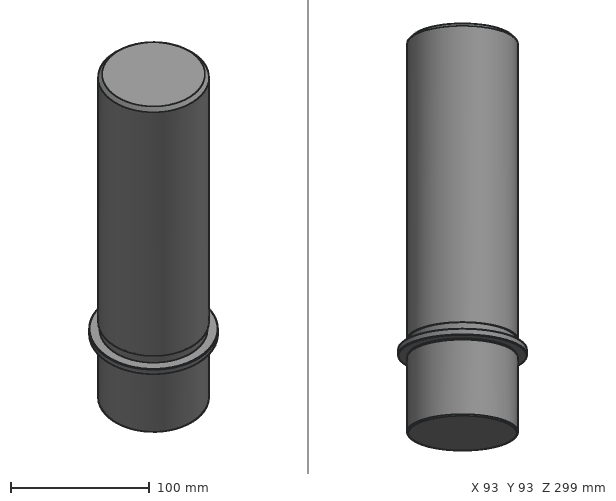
import cadquery as cq

total_height = 299.0
body_diameter = 80.0
top_chamfer = 3.0

base_height = 58.5
base_chamfer = 1.0
shoulder_chamfer = 1.0

neck_diameter = 78.0
neck_top = 71.0

collar_diameter = 93.0
collar_bottom = 59.0
collar_thickness = 5.0
collar_chamfer = 0.5


def cylinder(diameter, bottom, top):
    """Solid cylinder on the Z axis between two heights."""
    return cq.Workplane("XY").workplane(offset=bottom).circle(diameter / 2).extrude(top - bottom)


def make_base():
    base = cylinder(body_diameter, 0, base_height)
    base = base.faces("<Z").edges().chamfer(base_chamfer)
    return base.faces(">Z").edges().chamfer(shoulder_chamfer)


def make_collar():
    collar = cylinder(collar_diameter, collar_bottom, collar_bottom + collar_thickness)
    return collar.edges().chamfer(collar_chamfer)


def make_upper_body():
    upper_body = cylinder(body_diameter, neck_top, total_height)
    return upper_body.faces(">Z").edges().chamfer(top_chamfer)


neck = cylinder(neck_diameter, base_height, neck_top)

result = make_base().union(make_collar()).union(neck).union(make_upper_body())